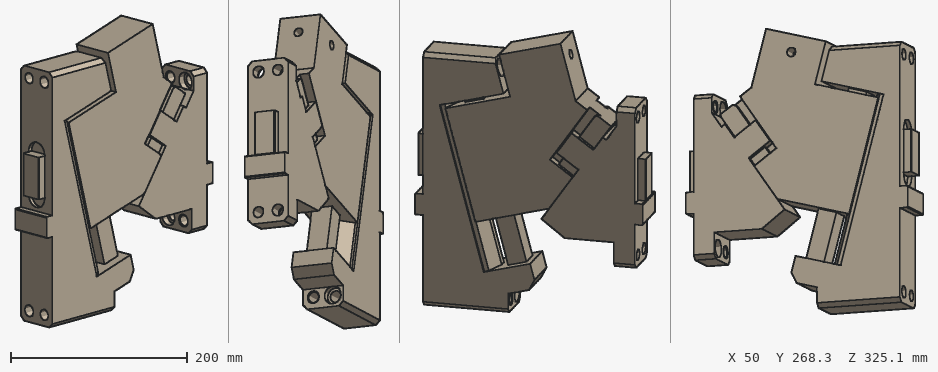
import cadquery as cq
import math

width = 50.0
edge_chamfer = 5.2
pad_height = 9.5
clearance = 1.0
block_height = 300.0
base_depth = 100.0
back_y = 249.3
rear_bottom_z = 65.3
rear_top_z = 255.0

seat_tilt = math.radians(15)
seat_corner = (71.5, 46.5)
seat_length = 200.2
wall_length = 77.7
lip_length = 56.5
lip_nose = 19.5
lip_thickness = 30.0
lip_bottom_end = 47.0

ridge_inset = 2.5
ridge_shoulder = 5.5
ridge_height = 16.0
ridge_crest_width = 9.8
bar_width = 25.0
bar_near = 26.0
bar_far = 48.5

carriage_bottom = 59.0
carriage_gap = 5.0
head_near = 84.5
head_far = 159.3
head_top = 245.7
elbow_along = 225.5
elbow_out = 122.2
elbow_diameter = 10.5
drill_point_angle = math.radians(118)

joint_tilt = math.radians(35)
joint_corner = (200.2, 202.5)
rail_start = -34.0
relief_end = -19.5
relief_depth = 5.0
nose_length = 30.5
rail_end = 42.3
heel_end = 106.3
rail_head_width = 39.3
rail_neck_width = 28.0
rail_head_depth = 21.8
rail_depth = 32.5
rail_round = 5.0
heel_foot = (166.7, 95.0)
rear_top_depth = 21.8
rear_bottom_depth = 25.0

hole_x = 12.0
hole_end_distance = 13.3
tapped_diameter = 12.5
through_diameter = 13.3
counterbore_diameter = 20.0
counterbore_depth = 8.5
rim_countersink = 1.0
key_width = 25.0
key_length = 49.5
key_chamfer = 1.0
base_key_z = 175.5
rear_key_z = 168.0
slot_length = 76.5
slot_depth = 5.0
cross_bar_height = 25.0
cross_bar_chamfer = 1.0
base_bar_z = 120.3
rear_bar_z = 130.5


def on_seat(along, out):
    """(Y, Z) of a point: uphill along the seat floor, and out from it."""
    y = seat_corner[0] - along * math.sin(seat_tilt) + out * math.cos(seat_tilt)
    z = seat_corner[1] + along * math.cos(seat_tilt) + out * math.sin(seat_tilt)
    return (y, z)


def on_joint(along, out):
    """(Y, Z) of a point: downhill along the joint face, and out towards the carriage."""
    y = joint_corner[0] - along * math.sin(joint_tilt) - out * math.cos(joint_tilt)
    z = joint_corner[1] - along * math.cos(joint_tilt) + out * math.sin(joint_tilt)
    return (y, z)


def seat_wall_y(z):
    """Y of the leaning upper seat wall at height z."""
    return seat_corner[0] + wall_length / math.cos(seat_tilt) - (z - seat_corner[1]) * math.tan(seat_tilt)


def crossing(first_start, first_end, second_start, second_end):
    """(Y, Z) where the lines through two pairs of points cross."""
    ay, az = first_end[0] - first_start[0], first_end[1] - first_start[1]
    by, bz = second_end[0] - second_start[0], second_end[1] - second_start[1]
    gap_y, gap_z = second_start[0] - first_start[0], second_start[1] - first_start[1]
    share = (gap_y * bz - gap_z * by) / (ay * bz - az * by)
    return (first_start[0] + share * ay, first_start[1] + share * az)


def plate(points):
    """Y-Z outline extruded over the full width, centred on X = 0."""
    return cq.Workplane("YZ").polyline(points).close().extrude(width / 2, both=True)


def end_chamfered(block, bottom_z, top_z):
    """Trim the long X edges at the lower and upper ends of a block."""
    envelope = (
        cq.Workplane("XZ")
        .center(0, (bottom_z + top_z) / 2)
        .rect(width, top_z - bottom_z)
        .extrude(block_height, both=True)
        .edges("|Y")
        .chamfer(edge_chamfer)
    )
    return block.intersect(envelope)


def key(face_y, outward, center_z, root_depth):
    """Rectangular key standing off a face, with both long outer edges chamfered."""
    tip_y = face_y + outward * pad_height
    shoulder_y = tip_y - outward * key_chamfer
    root_y = face_y - outward * root_depth
    half = key_width / 2
    outline = [
        (-half, root_y),
        (half, root_y),
        (half, shoulder_y),
        (half - key_chamfer, tip_y),
        (key_chamfer - half, tip_y),
        (-half, shoulder_y),
    ]
    start_z = center_z - key_length / 2
    return cq.Workplane("XY", origin=(0, 0, start_z)).polyline(outline).close().extrude(key_length)


def cross_bar(face_y, outward, center_z):
    """Full-width bar standing off a face."""
    bar = cq.Workplane("XY").box(width, pad_height, cross_bar_height)
    bar = bar.faces(">Y" if outward > 0 else "<Y").edges("|X").chamfer(cross_bar_chamfer)
    return bar.translate((0, face_y + outward * pad_height / 2, center_z))


def hole_along_y(x, z, diameter, start_y, length):
    """Cylinder from start_y, towards +Y for a positive length."""
    return cq.Workplane("XZ", origin=(x, start_y, z)).circle(diameter / 2).extrude(-length)


def mounting_holes(block, outer_y, inner_y, z, bore_side, bore_depth=counterbore_depth):
    """Hole pair from the flat outer face to the inner face.

    The hole on bore_side (+1 or -1 along X) is counterbored from the inner face, and
    the other one has a countersunk rim there.
    """
    inward = inner_y - outer_y
    toward_outer = math.copysign(1, -inward)
    bore_x = bore_side * hole_x
    block = block.cut(hole_along_y(bore_x, z, through_diameter, outer_y, inward))
    block = block.cut(hole_along_y(bore_x, z, counterbore_diameter, inner_y, toward_outer * bore_depth))
    block = block.cut(hole_along_y(-bore_x, z, tapped_diameter, outer_y, inward))
    rim = cq.Solid.makeCone(
        tapped_diameter / 2 + rim_countersink,
        tapped_diameter / 2,
        rim_countersink,
        cq.Vector(-bore_x, inner_y, z),
        cq.Vector(0, toward_outer, 0),
    )
    return block.cut(rim)


def seat_ridge():
    """Ridge with sloped sides running the length of the seat floor."""
    foot = width / 2 - ridge_inset
    crest = ridge_crest_width / 2
    outline = [
        (-foot, 0),
        (foot, 0),
        (foot, ridge_shoulder),
        (crest, ridge_height),
        (-crest, ridge_height),
        (-foot, ridge_shoulder),
    ]
    return cq.Workplane(seat_plane()).polyline(outline).close().extrude(seat_length)


def seat_bar():
    """Rectangular bar spanning the seat from the lip to the upper wall."""
    return (
        cq.Workplane(seat_plane())
        .center(0, (bar_near + bar_far) / 2)
        .rect(bar_width, bar_far - bar_near)
        .extrude(seat_length)
    )


def seat_plane():
    """Plane across the seat: local x along X, local y off the floor, normal uphill."""
    normal = (0, -math.sin(seat_tilt), math.cos(seat_tilt))
    return cq.Plane(origin=(0, *seat_corner), xDir=(1, 0, 0), normal=normal)


def joint_plane(along):
    """Plane across the joint: local x along X, local y into the rear block, normal uphill."""
    normal = (0, math.sin(joint_tilt), math.cos(joint_tilt))
    return cq.Plane(origin=(0, *on_joint(along, 0)), xDir=(1, 0, 0), normal=normal)


def make_base_block():
    """Upright block with the sloped seat, its ridge and bar, a key and a cross bar."""
    foot_top = crossing(
        (base_depth, 0),
        (base_depth, block_height),
        on_seat(-lip_thickness, 0),
        on_seat(-lip_thickness, lip_bottom_end),
    )
    outline = [
        (0, 0),
        (base_depth, 0),
        foot_top,
        on_seat(-lip_thickness, lip_bottom_end),
        on_seat(-lip_nose, lip_length),
        on_seat(0, lip_length),
        on_seat(0, 0),
        on_seat(seat_length, 0),
        on_seat(seat_length, wall_length),
        (seat_wall_y(block_height), block_height),
        (0, block_height),
    ]
    block = end_chamfered(plate(outline), 0, block_height)
    block = block.union(seat_ridge()).union(seat_bar())
    slot = (
        cq.Workplane("XZ", origin=(0, 0, base_key_z))
        .slot2D(slot_length, key_width, 90)
        .extrude(-slot_depth)
    )
    block = block.cut(slot)
    block = block.union(key(0, -1, base_key_z, slot_depth))
    block = block.union(cross_bar(0, -1, base_bar_z))
    upper_z = block_height - hole_end_distance
    upper_bore_depth = base_depth - seat_wall_y(upper_z) + counterbore_depth
    block = mounting_holes(block, 0, base_depth, upper_z, 1, upper_bore_depth)
    return mounting_holes(block, 0, base_depth, hole_end_distance, -1)


def rail_tee():
    """T-shaped rail along the joint: wide head next to the rear block, narrow neck."""
    length = rail_end - rail_start
    plane = joint_plane(rail_end)
    head = (
        cq.Workplane(plane)
        .center(0, -rail_head_depth / 2)
        .rect(rail_head_width, rail_head_depth)
        .extrude(length)
        .faces(">Z")
        .edges("<Y")
        .fillet(rail_round)
    )
    neck = (
        cq.Workplane(plane)
        .center(0, -rail_depth / 2)
        .rect(rail_neck_width, rail_depth)
        .extrude(length)
    )
    return head.union(neck)


def elbow_passage():
    """Drilled hole from the -X side that meets a hole from the upper rear face at mid-width."""
    corner_y, corner_z = on_seat(elbow_along, elbow_out)
    radius = elbow_diameter / 2
    side_hole = cq.Solid.makeCylinder(
        radius, width / 2, cq.Vector(-width / 2, corner_y, corner_z), cq.Vector(1, 0, 0)
    )
    outward = cq.Vector(0, math.cos(seat_tilt), math.sin(seat_tilt))
    rear_hole = cq.Solid.makeCylinder(
        radius, head_far - elbow_out, cq.Vector(0, corner_y, corner_z), outward
    )
    drill_point = cq.Solid.makeCone(
        radius,
        0,
        radius / math.tan(drill_point_angle / 2),
        cq.Vector(0, corner_y, corner_z),
        cq.Vector(1, 0, 0),
    )
    return side_hole.fuse(rear_hole, drill_point)


def make_carriage():
    """Middle body resting in the seat, grooved for the ridge and bar, with the joint rail."""
    shoulder = seat_length - carriage_gap
    neck_top = crossing(
        on_seat(0, head_far),
        on_seat(head_top, head_far),
        on_joint(rail_start, 0),
        on_joint(rail_start, rail_depth),
    )
    heel = crossing(
        on_seat(carriage_bottom, 0),
        on_seat(carriage_bottom, head_near),
        on_joint(rail_end, 0),
        on_joint(heel_end, 0),
    )
    outline = [
        on_seat(carriage_bottom, ridge_shoulder),
        on_seat(shoulder, ridge_shoulder),
        on_seat(shoulder, head_near),
        on_seat(head_top, head_near),
        on_seat(head_top, head_far),
        neck_top,
        on_joint(rail_start, rail_depth),
        on_joint(rail_end, rail_depth),
        on_joint(rail_end, 0),
        heel,
    ]
    carriage = plate(outline).union(rail_tee())
    carriage = carriage.cut(seat_ridge()).cut(seat_bar())
    return carriage.cut(elbow_passage())


def make_rear_block():
    """Block whose nose wraps around the carriage rail."""
    top_inner_y = back_y - rear_top_depth
    bottom_inner_y = back_y - rear_bottom_depth
    relief_top = crossing(
        (top_inner_y, rear_bottom_z),
        (top_inner_y, rear_top_z),
        on_joint(0, -relief_depth),
        on_joint(relief_end, -relief_depth),
    )
    outline = [
        (back_y, rear_bottom_z),
        (back_y, rear_top_z),
        (top_inner_y, rear_top_z),
        relief_top,
        on_joint(relief_end, -relief_depth),
        on_joint(relief_end, 0),
        on_joint(0, 0),
        on_joint(0, rail_depth - clearance),
        on_joint(nose_length, rail_depth - clearance),
        on_joint(nose_length, 0),
        on_joint(heel_end, 0),
        heel_foot,
        (bottom_inner_y, heel_foot[1]),
        (bottom_inner_y, rear_bottom_z),
    ]
    block = end_chamfered(plate(outline), rear_bottom_z, rear_top_z)
    block = block.cut(rail_tee())
    block = block.union(key(back_y, 1, rear_key_z, 0))
    block = block.union(cross_bar(back_y, 1, rear_bar_z))
    block = mounting_holes(block, back_y, top_inner_y, rear_top_z - hole_end_distance, 1)
    lower_z = rear_bottom_z + hole_end_distance
    return mounting_holes(block, back_y, bottom_inner_y, lower_z, -1)


base_block = make_base_block().solids()
carriage = make_carriage().solids()
rear_block = make_rear_block().solids()
result = cq.Compound.makeCompound([base_block.val(), carriage.val(), rear_block.val()])